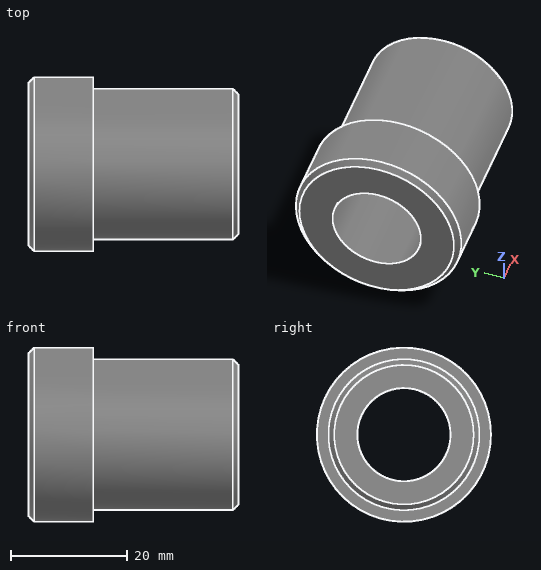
import cadquery as cq

head_diameter = 30.0
head_length = 11.19
body_diameter = 26.0
body_length = 25.0
bore_diameter = 16.0
edge_chamfer = 1.0

total_length = head_length + body_length


def cylinder_along_x(diameter, length, start_x):
    """Solid cylinder on the X axis, running from start_x toward +X."""
    return cq.Workplane("YZ", origin=(start_x, 0, 0)).circle(diameter / 2).extrude(length)


head = cylinder_along_x(head_diameter, head_length, -head_length)
head = head.faces("<X").chamfer(edge_chamfer)

body = cylinder_along_x(body_diameter, body_length, 0)
body = body.faces(">X").chamfer(edge_chamfer)

bore = cylinder_along_x(bore_diameter, total_length, -head_length)

result = head.union(body).cut(bore)